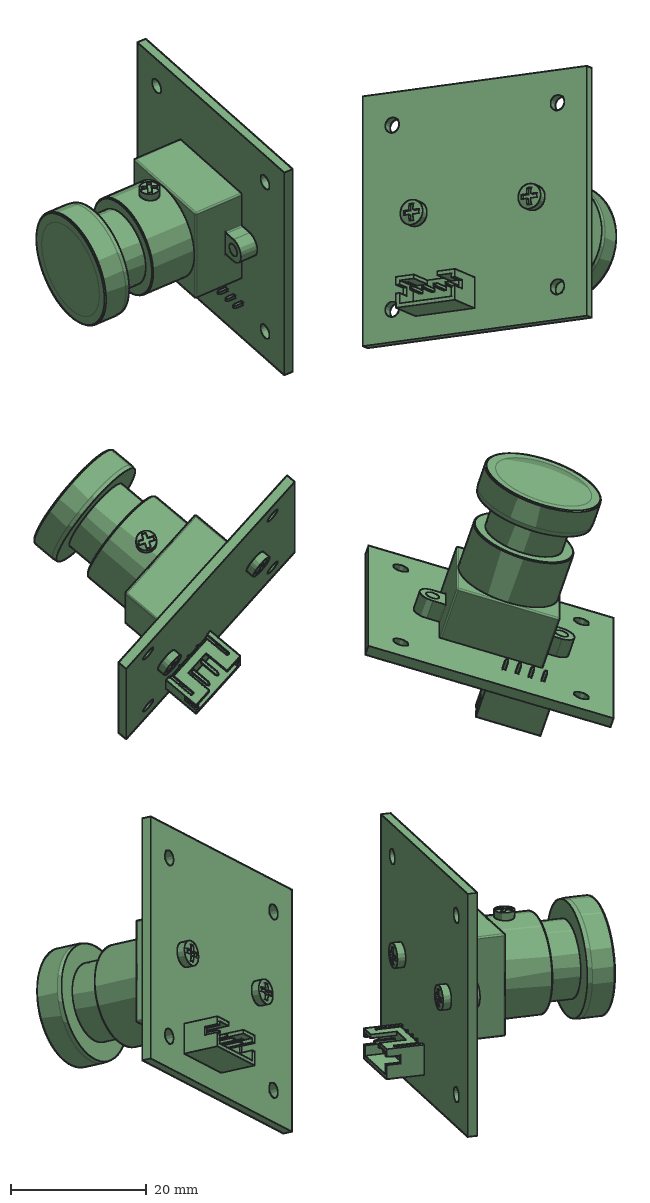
import cadquery as cq
import math


board_side = 38.0
board_thickness = 1.52
mount_hole_spacing = 28.0
mount_hole_diameter = 2.3

base_side = 16.0
base_depth = 8.35
base_fillet = 0.25
barrel_diameter = 15.5
barrel_end = 15.9
barrel_chamfer = 0.15
neck_diameter = 12.0
neck_end = 20.85
head_diameter = 18.0
head_end = 25.27
head_front_chamfer = 0.2
head_taper_length = 0.72
head_taper_depth = 0.1
dome_diameter = 14.9
dome_height = 1.2

ear_spacing = 20.0
ear_radius = 2.0
ear_depth = 2.93
ear_root_fillet = 0.2
shank_diameter = 2.0
screw_head_diameter = 3.8
screw_head_height = 1.3
screw_dome_height = 0.2
screw_slot_length = 2.6
screw_slot_width = 0.7
screw_slot_depth = 0.57

clamp_diameter = 3.05
clamp_offset = 11.02
clamp_top = 9.0
clamp_dome_height = 0.15
clamp_slot_length = 2.35
clamp_slot_width = 0.65
clamp_slot_depth = 0.45
clamp_slot_angle = -30.0

connector_width = 10.0
connector_left = 0.05
connector_depth = 5.9
connector_top = -10.83
connector_height = 4.7
connector_wall = 0.6
cavity_depth = 4.1
side_notch_depth = 2.25
side_notch_height = 1.3
side_notch_drop = 1.2
key_slot_width = 4.0
slit_width = 0.5
slit_inset = 0.72
slit_end_gap = 1.55
base_pocket_height = 0.45
base_pocket_depth = 1.0
base_rib_width = 0.3

pin_count = 4
pin_pitch = 2.0
pin_size = 0.5
pin_z = -12.5
pin_front = 1.55
pin_rear_gap = 0.87
pin_tip_length = 0.38
pin_tip_size = 0.25

ear_positions = [(-ear_spacing / 2, 0), (ear_spacing / 2, 0)]
board_rear = board_thickness
connector_rear = board_rear + connector_depth
connector_mid_x = connector_left + connector_width / 2
first_pin_x = connector_mid_x - pin_pitch * (pin_count - 1) / 2
pin_xs = [first_pin_x + i * pin_pitch for i in range(pin_count)]


def box(x0, x1, y0, y1, z0, z1):
    """Axis-aligned block between two corners."""
    return cq.Workplane("XY").box(x1 - x0, y1 - y0, z1 - z0, centered=False).translate((x0, y0, z0))


def plane_y(y):
    """Workplane at the given Y whose extrusions run towards -Y, with local y along Z."""
    return cq.Workplane(cq.Plane(origin=(0, y, 0), xDir=(1, 0, 0), normal=(0, -1, 0)))


def disk_y(diameter, y0, y1, points=((0, 0),)):
    """Cylinders parallel to Y from y0 to y1 at the given (x, z) points."""
    return plane_y(y1).pushPoints(points).circle(diameter / 2).extrude(y1 - y0)


def cross(length, width, depth):
    """Cross-shaped cutter hanging down from the XY plane."""
    arm = cq.Workplane("XY").rect(length, width).extrude(-depth)
    return arm.union(cq.Workplane("XY").rect(width, length).extrude(-depth))


def make_pin(x):
    """Square pin through the board and connector, tapered at both tips."""
    y_front = -pin_front + pin_tip_length
    y_rear = connector_rear - pin_rear_gap - pin_tip_length
    half = pin_size / 2
    pin = box(x - half, x + half, y_front, y_rear, pin_z - half, pin_z + half)
    taper = math.degrees(math.atan((pin_size - pin_tip_size) / 2 / pin_tip_length))
    for face in ("<Y", ">Y"):
        tip = pin.faces(face).workplane(centerOption="CenterOfMass")
        pin = tip.rect(pin_size, pin_size).extrude(pin_tip_length, taper=taper)
    return pin


def make_board():
    """Square board with holes for mounting, for the screws and for the pins."""
    board = plane_y(board_rear).rect(board_side, board_side).extrude(board_thickness)
    corners = plane_y(board_rear).rect(mount_hole_spacing, mount_hole_spacing, forConstruction=True)
    board = board.cut(corners.vertices().circle(mount_hole_diameter / 2).extrude(board_thickness))
    board = board.cut(disk_y(shank_diameter, 0, board_rear, ear_positions))
    for x in pin_xs:
        board = board.cut(make_pin(x))
    return board


def make_barrel_and_lens():
    """Barrel, neck, lens head and dome turned about the optical axis."""
    barrel_r = barrel_diameter / 2
    neck_r = neck_diameter / 2
    head_r = head_diameter / 2
    dome_r = dome_diameter / 2
    sphere_r = (dome_r**2 + dome_height**2) / (2 * dome_height)
    half_angle = math.asin(dome_r / sphere_r) / 2
    apex = -head_end - dome_height
    dome_middle = (sphere_r * math.sin(half_angle), apex + sphere_r * (1 - math.cos(half_angle)))
    return (
        cq.Workplane("XY")
        .moveTo(0, -base_depth + base_fillet)
        .lineTo(barrel_r, -base_depth + base_fillet)
        .lineTo(barrel_r, -barrel_end + barrel_chamfer)
        .lineTo(barrel_r - barrel_chamfer, -barrel_end)
        .lineTo(neck_r, -barrel_end)
        .lineTo(neck_r, -neck_end)
        .lineTo(head_r - head_taper_depth, -neck_end)
        .lineTo(head_r, -neck_end - head_taper_length)
        .lineTo(head_r, -head_end + head_front_chamfer)
        .lineTo(head_r - head_front_chamfer, -head_end)
        .lineTo(dome_r, -head_end)
        .threePointArc(dome_middle, (0, apex))
        .close()
        .revolve(360, (0, 0), (0, 1))
    )


def make_screw_head(diameter, height, dome, slot):
    """Domed head standing on the XY plane, with the cross-shaped slot cut into its crown."""
    radius = diameter / 2
    sphere_radius = (radius**2 + dome**2) / (2 * dome)
    half_angle = math.asin(radius / sphere_radius) / 2
    crown = height + dome
    dome_middle = (
        sphere_radius * math.sin(half_angle),
        crown - sphere_radius * (1 - math.cos(half_angle)),
    )
    head = (
        cq.Workplane("XZ")
        .lineTo(radius, 0)
        .lineTo(radius, height)
        .threePointArc(dome_middle, (0, crown))
        .close()
        .revolve(360, (0, 0), (0, 1))
    )
    return head.cut(slot.translate((0, 0, crown)))


def make_clamp_head():
    """Clamp screw head, rooted at the neck radius and standing out of the barrel."""
    root_z = neck_diameter / 2
    slot = cross(clamp_slot_length, clamp_slot_width, clamp_slot_depth)
    slot = slot.rotate((0, 0, 0), (0, 0, 1), clamp_slot_angle)
    height = clamp_top - clamp_dome_height - root_z
    head = make_screw_head(clamp_diameter, height, clamp_dome_height, slot)
    return head.translate((0, -clamp_offset, root_z))


def make_camera():
    """Camera with its square base, two screw ears, barrel, clamp head and lens."""
    base = plane_y(0).rect(base_side, base_side).extrude(base_depth)
    base = base.edges("|Y or <Y").fillet(base_fillet)
    ears = plane_y(0).slot2D(ear_spacing + 2 * ear_radius, 2 * ear_radius).extrude(ear_depth)
    camera = base.union(ears)

    reach_x = base_side / 2 + ear_root_fillet
    reach_z = ear_radius + ear_root_fillet
    ear_roots = cq.selectors.BoxSelector((-reach_x, -ear_depth, -reach_z), (reach_x, 0, reach_z))
    camera = camera.edges("|Y").edges(ear_roots).fillet(ear_root_fillet)

    camera = camera.union(make_barrel_and_lens()).union(make_clamp_head())
    return camera.cut(disk_y(shank_diameter, -ear_depth, 0, ear_positions))


def make_screw(x):
    """Cross-slotted screw entering from behind the board, its end level with the ear."""
    slot = cross(screw_slot_length, screw_slot_width, screw_slot_depth)
    head = make_screw_head(screw_head_diameter, screw_head_height, screw_dome_height, slot)
    shank_length = board_thickness + ear_depth
    screw = head.union(cq.Workplane("XY").circle(shank_diameter / 2).extrude(-shank_length))
    screw = screw.rotate((0, 0, 0), (1, 0, 0), -90)
    return screw.translate((x, board_rear, 0))


def make_connector():
    """Open-backed four-pin connector with its pins."""
    left = connector_left
    right = left + connector_width
    top = connector_top
    bottom = top - connector_height
    wall = connector_wall
    rear = connector_rear
    floor = rear - cavity_depth
    shell = box(left, right, board_rear, rear, bottom, top)
    shell = shell.cut(box(left + wall, right - wall, floor, rear, bottom + wall, top - wall))

    notch_top = top - side_notch_drop
    notch_bottom = notch_top - side_notch_height
    shell = shell.cut(box(left, right, rear - side_notch_depth, rear, notch_bottom, notch_top))

    key_left = connector_mid_x - key_slot_width / 2
    shell = shell.cut(box(key_left, key_left + key_slot_width, floor, rear, top - wall, top))
    for slit_left in (left + slit_inset, right - slit_inset - slit_width):
        slit_right = slit_left + slit_width
        shell = shell.cut(box(slit_left, slit_right, board_rear, rear - slit_end_gap, top - wall, top))

    pocket_width = pin_pitch - base_rib_width
    for x in pin_xs:
        pocket = (
            cq.Workplane("YZ", origin=(x - pocket_width / 2, 0, 0))
            .moveTo(board_rear, top)
            .lineTo(board_rear + base_pocket_height, top)
            .lineTo(board_rear, top - base_pocket_depth)
            .close()
            .extrude(pocket_width)
        )
        shell = shell.cut(pocket)

    for x in pin_xs:
        shell = shell.union(make_pin(x))
    return shell


board = make_board()
camera = make_camera()
screws = [make_screw(x) for x, _ in ear_positions]
connector = make_connector()

result = cq.Compound.makeCompound(
    [board.val(), camera.val(), connector.val(), *[screw.val() for screw in screws]]
)